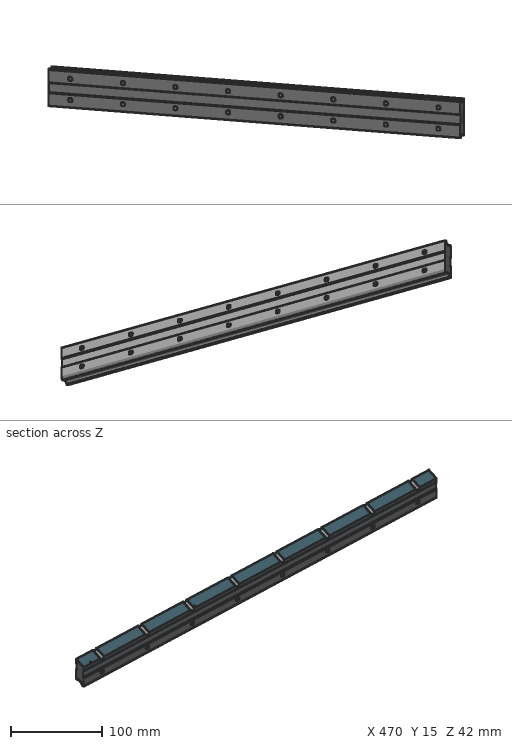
import cadquery as cq

length = 470.0
thickness = 15.0
height = 42.0

groove_center = -0.1
groove_width = 8.5
groove_floor = 3.0
groove_depth = 2.5

back_edge_radius = 2.5
front_bevel = 0.7

channel_width = 12.0
channel_depth = 1.0

hole_diameter = 4.5
hole_row_spacing = 24.0
holes_per_row = 8
hole_end_margin = 25.0


def half_profile():
    """Upper half of the rail's cross-section, drawn as (Y, Z) and closed along Z = 0."""
    front = -thickness / 2
    back = thickness / 2
    top = height / 2
    floor = top - groove_depth
    channel_edge = channel_width / 2
    channel_bottom = channel_edge - channel_depth

    side_run = (groove_width - groove_floor) / 2
    side_radius = (side_run**2 + groove_depth**2) / (2 * groove_depth)

    return (
        cq.Workplane("YZ", origin=(-length / 2, 0, 0))
        .moveTo(front + channel_depth, 0)
        .lineTo(front + channel_depth, channel_bottom)
        .lineTo(front, channel_edge)
        .lineTo(front, top - front_bevel)
        .lineTo(front + front_bevel, top)
        .lineTo(groove_center - groove_width / 2, top)
        .radiusArc((groove_center - groove_floor / 2, floor), -side_radius)
        .lineTo(groove_center + groove_floor / 2, floor)
        .radiusArc((groove_center + groove_width / 2, top), -side_radius)
        .lineTo(back - back_edge_radius, top)
        .radiusArc((back, top - back_edge_radius), back_edge_radius)
        .lineTo(back, channel_edge)
        .lineTo(back - channel_depth, channel_bottom)
        .lineTo(back - channel_depth, 0)
        .close()
    )


def rail_body():
    """Full rail: the upper half joined to its mirror image below Z = 0."""
    upper = half_profile().extrude(length)
    return upper.union(upper.mirror("XY")).clean()


def mounting_holes():
    """Cylinders for both rows of holes, running through the thickness."""
    pitch = (length - 2 * hole_end_margin) / (holes_per_row - 1)
    return (
        cq.Workplane("XZ", origin=(0, thickness / 2, 0))
        .rarray(pitch, hole_row_spacing, holes_per_row, 2)
        .circle(hole_diameter / 2)
        .extrude(thickness)
    )


result = rail_body().cut(mounting_holes())